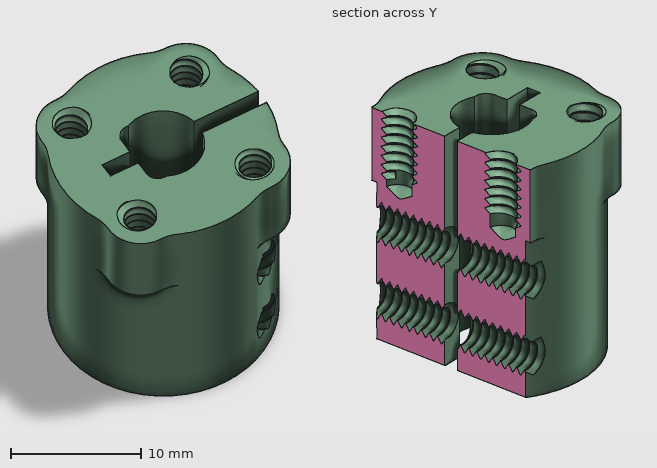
import math

import cadquery as cq

body_radius = 8.89
body_height = 20.07

flange_half_width = 7.875
flange_height = 6.4
ear_count = 4
ear_spacing_angle = 360 / ear_count
ear_corner_radius = 2.85
ear_blend_radius = 3.175

bore_radius = 3.175
relief_half_width = 2.85
relief_depth = 2.6
relief_corner_radius = 1.0

slot_width = 1.25
slot_end_y = -5.08

inch = 25.4
threads_per_inch = 32
thread_pitch = inch / threads_per_inch
thread_minor_radius = 1.26
thread_major_radius = 1.8
thread_flank_fill = 0.96
groove_root_overlap = 0.05

flange_hole_offset = 5.14
flange_hole_depth = flange_height
drill_point_angle = 118.0
flange_thread_start_angle = -45.0
thread_runout_turns = 1

clamp_hole_y = 4.9
clamp_hole_low_z = 3.6
clamp_hole_count = 2
clamp_hole_spacing = 6.65
clamp_groove_start_x = -body_radius - thread_pitch / 2


def make_body():
    return cq.Workplane("XY").circle(body_radius).extrude(body_height)


def make_flange_ears():
    """Four corners of a rounded square whose sides blend tangentially into the body circle."""
    blend_centre_from_axis = body_radius + ear_blend_radius
    blend_centre_y = flange_half_width + ear_blend_radius
    blend_centre_x = math.sqrt(blend_centre_from_axis**2 - blend_centre_y**2)
    blend_end_angle = math.atan2(blend_centre_y, blend_centre_x)
    blend_end_x = body_radius * math.cos(blend_end_angle)
    blend_end_y = body_radius * math.sin(blend_end_angle)
    blend_mid_angle = (blend_end_angle + math.pi / 2) / 2
    blend_mid_x = blend_centre_x - ear_blend_radius * math.cos(blend_mid_angle)
    blend_mid_y = blend_centre_y - ear_blend_radius * math.sin(blend_mid_angle)
    corner_centre = flange_half_width - ear_corner_radius
    corner_mid = corner_centre + ear_corner_radius / math.sqrt(2)

    ear = (
        cq.Workplane("XY")
        .workplane(offset=body_height - flange_height)
        .moveTo(0, 0)
        .lineTo(blend_end_x, blend_end_y)
        .threePointArc((blend_mid_x, blend_mid_y), (blend_centre_x, flange_half_width))
        .lineTo(corner_centre, flange_half_width)
        .threePointArc((corner_mid, corner_mid), (flange_half_width, corner_centre))
        .lineTo(flange_half_width, blend_centre_x)
        .threePointArc((blend_mid_y, blend_mid_x), (blend_end_y, blend_end_x))
        .close()
        .extrude(flange_height)
    )
    return [ear.rotate((0, 0, 0), (0, 0, 1), ear_spacing_angle * index) for index in range(ear_count)]


def make_bore():
    bore = cq.Workplane("XY").circle(bore_radius).extrude(body_height)
    relief = (
        cq.Workplane("XY")
        .center(0, -relief_depth / 2)
        .rect(2 * relief_half_width, relief_depth)
        .extrude(body_height)
        .edges("|Z and <Y")
        .fillet(relief_corner_radius)
    )
    below_flat = (
        cq.Workplane("XY")
        .center(0, -relief_depth - bore_radius)
        .rect(2 * bore_radius, 2 * bore_radius)
        .extrude(body_height)
    )
    return bore.cut(below_flat).union(relief)


def make_slot():
    slot_length = body_radius - slot_end_y
    return (
        cq.Workplane("XY")
        .center(0, slot_end_y + slot_length / 2)
        .rect(slot_width, slot_length)
        .extrude(body_height)
    )


def make_thread_groove(length):
    """V-section helical cutter rising along +Z from the origin, starting on +X."""
    back_radius = thread_minor_radius - groove_root_overlap
    mouth_half_height = thread_flank_fill * thread_pitch / 2
    root = cq.Wire.makeHelix(thread_pitch, length, thread_major_radius)
    back = cq.Wire.makeHelix(thread_pitch, length, back_radius)
    upper_back = back.translate(cq.Vector(0, 0, mouth_half_height))
    lower_back = back.translate(cq.Vector(0, 0, -mouth_half_height))
    edges = (root, upper_back, lower_back)
    faces = [cq.Face.makeRuledSurface(edges[i - 1], edges[i]) for i in range(3)]
    start_corners = [edge.startPoint() for edge in edges]
    end_corners = [edge.endPoint() for edge in edges]
    for corners in (start_corners, end_corners):
        faces.append(cq.Face.makeFromWires(cq.Wire.makePolygon(corners, close=True)))
    return cq.Workplane(obj=cq.Solid.makeSolid(cq.Shell.makeShell(faces)))


def cut_flange_holes(part):
    """Blind threaded holes, one per ear, each turned a quarter turn from the last."""
    point_height = thread_minor_radius / math.tan(math.radians(drill_point_angle / 2))
    drill = (
        cq.Workplane("XZ")
        .lineTo(thread_minor_radius, 0)
        .lineTo(thread_minor_radius, -flange_hole_depth)
        .lineTo(0, -flange_hole_depth - point_height)
        .close()
        .revolve(360, (0, 0, 0), (0, 1, 0))
    )
    turns = math.floor(flange_hole_depth / thread_pitch) - thread_runout_turns
    groove_length = turns * thread_pitch
    groove = (
        make_thread_groove(groove_length + thread_runout_turns * thread_pitch)
        .translate((0, 0, -groove_length))
        .rotate((0, 0, 0), (0, 0, 1), flange_thread_start_angle)
    )
    hole_position = (flange_hole_offset, flange_hole_offset, body_height)
    for cutter in (drill, groove):
        placed = cutter.translate(hole_position)
        for index in range(ear_count):
            part = part.cut(placed.rotate((0, 0, 0), (0, 0, 1), ear_spacing_angle * index))
    return part


def cut_clamp_holes(part):
    """Threaded through holes along X, crossing the slot."""
    drill = cq.Workplane("YZ").circle(thread_minor_radius).extrude(body_radius, both=True)
    turns = math.ceil(body_radius / thread_pitch)
    entry_groove = (
        make_thread_groove(turns * thread_pitch)
        .rotate((0, 0, 0), (0, 1, 0), 90)
        .translate((clamp_groove_start_x, 0, 0))
    )
    exit_groove = entry_groove.rotate((0, 0, 0), (0, 1, 0), 180)
    for row in range(clamp_hole_count):
        hole_z = clamp_hole_low_z + row * clamp_hole_spacing
        for cutter in (drill, entry_groove, exit_groove):
            part = part.cut(cutter.translate((0, clamp_hole_y, hole_z)))
    return part


result = make_body()
for flange_ear in make_flange_ears():
    result = result.union(flange_ear)
result = result.cut(make_bore()).cut(make_slot())
result = cut_flange_holes(result)
result = cq.Workplane(obj=cut_clamp_holes(result).solids().val())